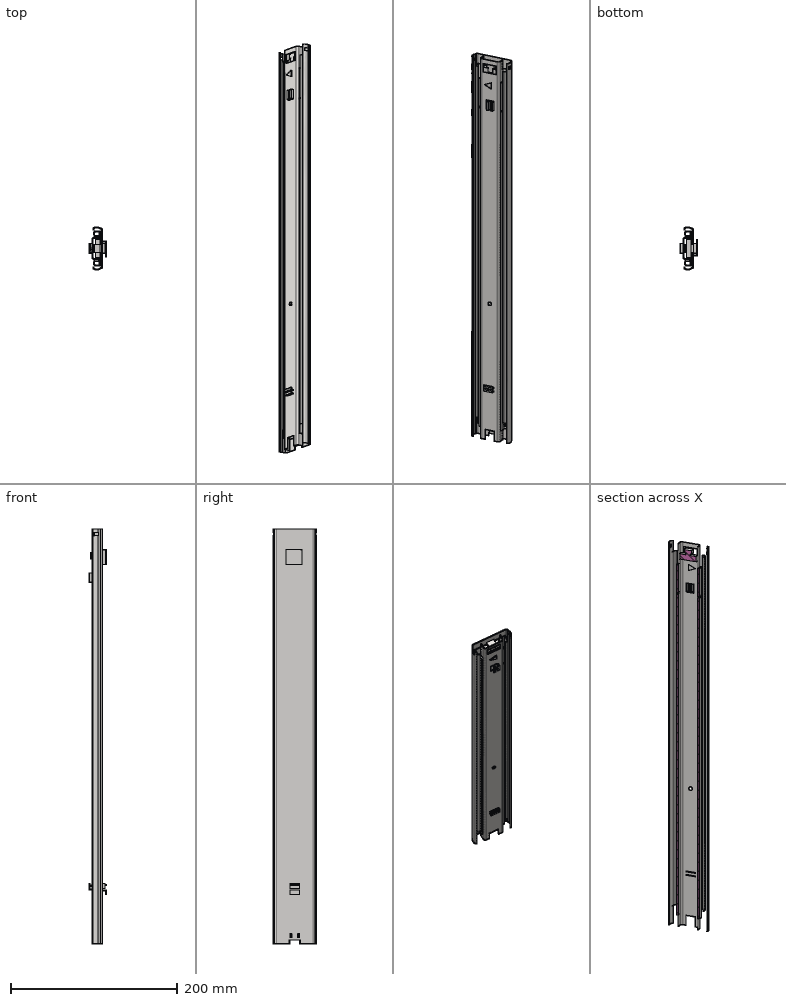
import cadquery as cq
import math

LENGTH = 500.0
WIDTH = 52.0
DEPTH = 21.0
SHEET = 1.25
HOOK_FRONT = -DEPTH / 2
HOOK_BACK = DEPTH / 2

OUTER_BACK = 6.0
OUTER_FRONT = -6.0
OUTER_BACK_HALF_WIDTH = 24.5
OUTER_BEND_HEIGHT = 3.5
OUTER_BACK_BEND = 2.5
SHOULDER_X = 0.5
FLANGE_SLOT_X = (-4.0, 1.0)
FLANGE_SLOT_Z = (492.0, 495.5)
OUTER_NOTCH_HALF_WIDTH = 7.0
OUTER_NOTCH_HEIGHT = 4.5
STOP_HALF_WIDTH = 5.0
STOP_HEIGHT = 3.5
STOP_FRONT = 2.5
SLIT_CENTER_Y = 4.5
SLIT_WIDTH = 1.5
SLIT_TOP = 12.0

MIDDLE_BACK = 4.25
MIDDLE_FRONT = -5.0
MIDDLE_HALF_WIDTH = 21.0
MIDDLE_LIP_HALF_WIDTH = 16.5
MIDDLE_BEND = 2.5
MIDDLE_Z = (14.5, 488.0)
MIDDLE_FLANGE_BOTTOM = 25.5
RIDGE_Z = (18.5, 20.5)
RIDGE_HALF_SPAN = (14.0, MIDDLE_HALF_WIDTH)

INNER_FRONT = -7.0
INNER_BACK = 2.0
INNER_HALF_WIDTH = 13.5
INNER_BEND = 3.0
WINDOW_HALF_WIDTH = 9.0
WINDOW_Z = (483.0, 494.0)
INNER_NOTCH_HALF_WIDTH = 6.0
INNER_NOTCH_HEIGHT = 13.0
HOLE_DIAMETER = 4.5
HOLE_Z = 179.5
ARROW_FRONT = -8.5
ARROW_TIP_Y = 6.0
ARROW_BASE_Y = -3.0
ARROW_Z = 467.5
ARROW_HALF_HEIGHT = 4.0

FRONT_SIDE_HOOK_Y = (-6.0, 4.5)
FRONT_SIDE_HOOK_STEMS = (-6.0, -1.0)
FRONT_SIDE_HOOK_LIP = 3.0
FRONT_SIDE_HOOK_Z = (435.5, 447.0)
SHELF_HALF_WIDTH = 6.0
FRONT_SHELF_HEIGHT = 3.5
FRONT_SHELF_BOTTOMS = (65.0, 69.5)
BACK_HOOK_Y = (-10.5, 9.0)
BACK_SIDE_HOOK_Z = (457.0, 475.0)
BACK_PAD = 9.0
BACK_PAD_Z = (66.5, 73.0)
BACK_SHELF_BOTTOM = 70.5
BACK_LOWER_HOOK_Z = (59.5, 65.0)

RETAINER_X = (-4.5, 1.5)
RETAINER_HALF_SPAN = (INNER_HALF_WIDTH, 15.5)
UPPER_RETAINER_Z = (435.5, 472.5)
LOWER_RETAINER_Z = (MIDDLE_Z[0], 434.0)

LATCH_FRONT = -4.5
LATCH_HEAD_HALF_WIDTH = 5.0
LATCH_NECK_HALF_WIDTH = 3.0
LATCH_HEAD_BOTTOM = 489.0
LATCH_BASE_FRONT = -3.0
LATCH_BASE_HALF_WIDTH = 11.0
LATCH_BASE_Z = (480.0, 487.5)


def block(x, y, z):
    """Box between the given (low, high) limits on each axis."""
    size = [high - low for low, high in (x, y, z)]
    return cq.Workplane("XY").box(*size, centered=False).translate((x[0], y[0], z[0]))


def mirrored_rail(half_outline, z):
    """Extrude a closed half section over the Z limits and join it to its mirror image in Y."""
    half = half_outline.close().extrude(z[1] - z[0])
    return half.union(half.mirror("XZ")).translate((0, 0, z[0]))


def bend_middle(center, radius, sign_x):
    """Middle point of a quarter bend around a center, on its +Y side and its sign_x side in X."""
    leg = radius * math.sqrt(0.5)
    return (center[0] + sign_x * leg, center[1] + leg)


def outer_rail():
    half = WIDTH / 2
    lip_y = half - OUTER_BEND_HEIGHT
    back_bend = (OUTER_BACK - OUTER_BACK_BEND, OUTER_BACK_HALF_WIDTH - OUTER_BACK_BEND)
    back_inside_radius = OUTER_BACK_BEND - SHEET
    outline = (
        cq.Workplane("XY")
        .moveTo(OUTER_BACK, 0)
        .lineTo(OUTER_BACK, back_bend[1])
        .threePointArc(bend_middle(back_bend, OUTER_BACK_BEND, 1), (back_bend[0], OUTER_BACK_HALF_WIDTH))
        .lineTo(SHOULDER_X, half)
        .spline([(OUTER_FRONT, lip_y)], tangents=[(-1, 0), (0, -1)], includeCurrent=True)
        .lineTo(OUTER_FRONT + SHEET, lip_y)
        .spline([(SHOULDER_X, half - SHEET)], tangents=[(0, 1), (1, 0)], includeCurrent=True)
        .lineTo(back_bend[0], OUTER_BACK_HALF_WIDTH - SHEET)
        .threePointArc(bend_middle(back_bend, back_inside_radius, 1), (OUTER_BACK - SHEET, back_bend[1]))
        .lineTo(OUTER_BACK - SHEET, 0)
    )
    rail = mirrored_rail(outline, (0, LENGTH))
    rail = rail.cut(block(FLANGE_SLOT_X, (-WIDTH, WIDTH), FLANGE_SLOT_Z))

    notch_y = (-OUTER_NOTCH_HALF_WIDTH, OUTER_NOTCH_HALF_WIDTH)
    rail = rail.cut(block((OUTER_BACK - SHEET, OUTER_BACK), notch_y, (0, OUTER_NOTCH_HEIGHT)))
    stop_z = (OUTER_NOTCH_HEIGHT, OUTER_NOTCH_HEIGHT + STOP_HEIGHT)
    rail = rail.union(block((STOP_FRONT, OUTER_BACK), (-STOP_HALF_WIDTH, STOP_HALF_WIDTH), stop_z))

    for center_y in (-SLIT_CENTER_Y, SLIT_CENTER_Y):
        slit_y = (center_y - SLIT_WIDTH / 2, center_y + SLIT_WIDTH / 2)
        rail = rail.cut(block((OUTER_BACK - SHEET, OUTER_BACK), slit_y, (stop_z[1], SLIT_TOP)))
    return rail.union(back_hooks())


def back_hooks():
    """Sideways hook near the top, and a padded shelf above a hanging hook near the bottom."""
    reach = (OUTER_BACK, HOOK_BACK)
    lip = (HOOK_BACK - SHEET, HOOK_BACK)
    hook_top_y = BACK_HOOK_Y[1]
    hooks = block(reach, (hook_top_y - SHEET, hook_top_y), BACK_SIDE_HOOK_Z)
    hooks = hooks.union(block(lip, BACK_HOOK_Y, BACK_SIDE_HOOK_Z))

    shelf_y = (-SHELF_HALF_WIDTH, SHELF_HALF_WIDTH)
    hooks = hooks.union(block((OUTER_BACK, BACK_PAD), shelf_y, BACK_PAD_Z))
    hooks = hooks.union(block(reach, shelf_y, (BACK_SHELF_BOTTOM, BACK_SHELF_BOTTOM + SHEET)))
    lower_top = BACK_LOWER_HOOK_Z[1]
    hooks = hooks.union(block(reach, shelf_y, (lower_top - SHEET, lower_top)))
    return hooks.union(block(lip, shelf_y, BACK_LOWER_HOOK_Z))


def middle_rail():
    half = MIDDLE_HALF_WIDTH
    bend = (MIDDLE_FRONT + MIDDLE_BEND, half - MIDDLE_BEND)
    inside_radius = MIDDLE_BEND - SHEET
    outline = (
        cq.Workplane("XY")
        .moveTo(MIDDLE_BACK, 0)
        .lineTo(MIDDLE_BACK, half)
        .lineTo(bend[0], half)
        .threePointArc(bend_middle(bend, MIDDLE_BEND, -1), (MIDDLE_FRONT, bend[1]))
        .lineTo(MIDDLE_FRONT, MIDDLE_LIP_HALF_WIDTH)
        .lineTo(MIDDLE_FRONT + SHEET, MIDDLE_LIP_HALF_WIDTH)
        .lineTo(MIDDLE_FRONT + SHEET, bend[1])
        .threePointArc(bend_middle(bend, inside_radius, -1), (bend[0], half - SHEET))
        .lineTo(MIDDLE_BACK - SHEET, half - SHEET)
        .lineTo(MIDDLE_BACK - SHEET, 0)
    )
    rail = mirrored_rail(outline, MIDDLE_Z)
    web_front = MIDDLE_BACK - SHEET
    flange_end = block((MIDDLE_FRONT, web_front), (-half, half), (MIDDLE_Z[0], MIDDLE_FLANGE_BOTTOM))
    rail = rail.cut(flange_end)

    ridge = block((web_front - SHEET, web_front), RIDGE_HALF_SPAN, RIDGE_Z)
    return rail.union(ridge).union(ridge.mirror("XZ"))


def inner_rail():
    half = INNER_HALF_WIDTH
    bend = (INNER_FRONT + INNER_BEND, half - INNER_BEND)
    inside_radius = INNER_BEND - SHEET
    web_back = INNER_FRONT + SHEET
    outline = (
        cq.Workplane("XY")
        .moveTo(INNER_FRONT, 0)
        .lineTo(INNER_FRONT, bend[1])
        .threePointArc(bend_middle(bend, INNER_BEND, -1), (bend[0], half))
        .lineTo(INNER_BACK, half)
        .lineTo(INNER_BACK, half - SHEET)
        .lineTo(bend[0], half - SHEET)
        .threePointArc(bend_middle(bend, inside_radius, -1), (web_back, bend[1]))
        .lineTo(web_back, 0)
    )
    rail = mirrored_rail(outline, (0, LENGTH))

    web_x = (INNER_FRONT, web_back)
    rail = rail.cut(block(web_x, (-WINDOW_HALF_WIDTH, WINDOW_HALF_WIDTH), WINDOW_Z))
    notch_y = (-INNER_NOTCH_HALF_WIDTH, INNER_NOTCH_HALF_WIDTH)
    rail = rail.cut(block(web_x, notch_y, (0, INNER_NOTCH_HEIGHT)))
    hole = cq.Workplane("YZ", origin=(INNER_FRONT, 0, HOLE_Z)).circle(HOLE_DIAMETER / 2).extrude(SHEET)
    rail = rail.cut(hole).cut(block(web_x, FRONT_SIDE_HOOK_Y, FRONT_SIDE_HOOK_Z))
    return rail.union(front_hooks()).union(raised_arrow())


def front_hooks():
    """Two sideways hooks near the top and two shelf hooks near the bottom of the inner web."""
    reach = (HOOK_FRONT, INNER_FRONT + SHEET)
    lip = (HOOK_FRONT, HOOK_FRONT + SHEET)
    hooks = cq.Workplane("XY")
    for low_y in FRONT_SIDE_HOOK_STEMS:
        hooks = hooks.add(block(reach, (low_y, low_y + SHEET), FRONT_SIDE_HOOK_Z))
        hooks = hooks.add(block(lip, (low_y, low_y + FRONT_SIDE_HOOK_LIP), FRONT_SIDE_HOOK_Z))
    hooks = hooks.combine()

    shelf_y = (-SHELF_HALF_WIDTH, SHELF_HALF_WIDTH)
    for bottom in FRONT_SHELF_BOTTOMS:
        hooks = hooks.union(block(reach, shelf_y, (bottom, bottom + SHEET)))
        hooks = hooks.union(block(lip, shelf_y, (bottom, bottom + FRONT_SHELF_HEIGHT)))
    return hooks


def raised_arrow():
    """Triangular pip on the front of the inner web, pointing to +Y."""
    corners = [
        (ARROW_TIP_Y, ARROW_Z),
        (ARROW_BASE_Y, ARROW_Z + ARROW_HALF_HEIGHT),
        (ARROW_BASE_Y, ARROW_Z - ARROW_HALF_HEIGHT),
    ]
    plane = cq.Workplane("YZ", origin=(ARROW_FRONT, 0, 0))
    return plane.polyline(corners).close().extrude(INNER_FRONT - ARROW_FRONT)


def retainer(side, z):
    """Retainer strip on the +Y (side = 1) or -Y (side = -1) flank of the inner rail."""
    near, far = RETAINER_HALF_SPAN
    y = (near, far) if side > 0 else (-far, -near)
    return block(RETAINER_X, y, z)


def latch():
    """T-shaped latch behind the window, with a wide base lying on the web of the middle rail."""
    x = (LATCH_FRONT, MIDDLE_BACK - SHEET)
    head_y = (-LATCH_HEAD_HALF_WIDTH, LATCH_HEAD_HALF_WIDTH)
    neck_y = (-LATCH_NECK_HALF_WIDTH, LATCH_NECK_HALF_WIDTH)
    head = block(x, head_y, (LATCH_HEAD_BOTTOM, WINDOW_Z[1]))
    neck = block(x, neck_y, (WINDOW_Z[0], LATCH_HEAD_BOTTOM))
    base_y = (-LATCH_BASE_HALF_WIDTH, LATCH_BASE_HALF_WIDTH)
    base = block((LATCH_BASE_FRONT, x[1]), base_y, LATCH_BASE_Z)
    return head.union(neck).union(base)


retainers = []
for retainer_z in (UPPER_RETAINER_Z, LOWER_RETAINER_Z):
    for flank in (-1, 1):
        retainers.append(retainer(flank, retainer_z).val())

result = cq.Compound.makeCompound(
    [outer_rail().val(), middle_rail().val(), inner_rail().val(), latch().val(), *retainers]
)